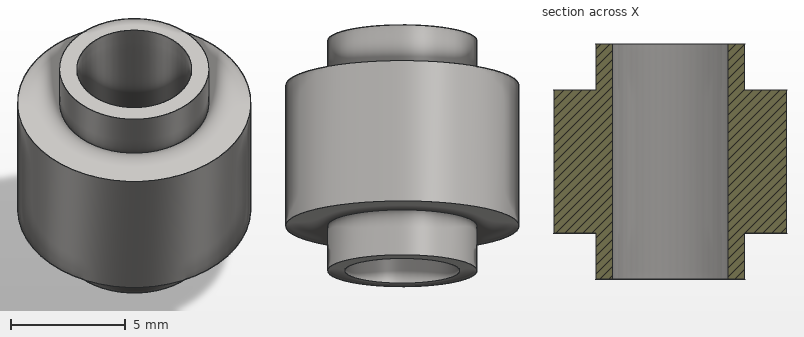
import cadquery as cq

total_length = 10.25
neck_length = 2.0
body_diameter = 10.16
neck_diameter = 6.5
bore_diameter = 5.0

body_length = total_length - 2 * neck_length


def centred_cylinder(diameter, length):
    """Cylinder along Z, centred on the origin."""
    return cq.Workplane("XY").cylinder(length, diameter / 2)


body = centred_cylinder(body_diameter, body_length)
necks = centred_cylinder(neck_diameter, total_length)

bore = centred_cylinder(bore_diameter, total_length)

result = body.union(necks).cut(bore)